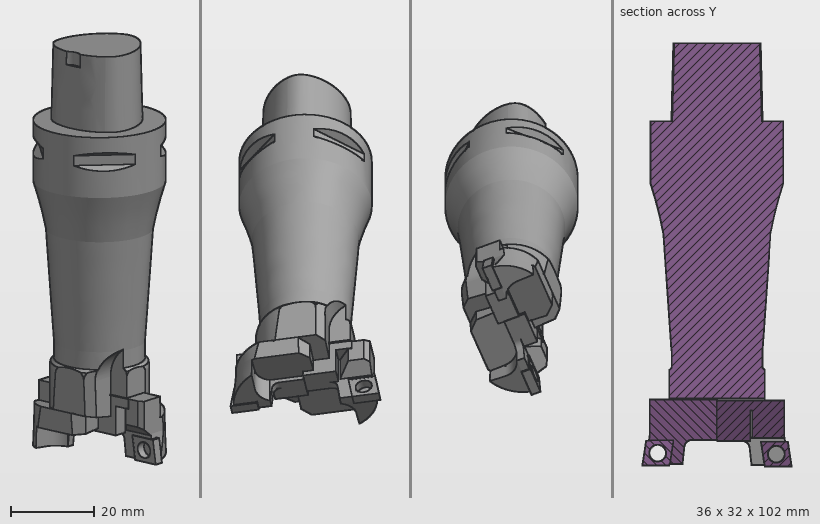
import cadquery as cq
import math

TOTAL_HEIGHT = 102.0
TOTAL_WIDTH = 36.0
FLANGE_TOP = 83.2
FLANGE_BOTTOM = 68.1
NECK_TOP = 56.2
NECK_BOTTOM = 28.2
COLLAR_TOP = 23.8
COLLAR_BREAK = 23.1
COLLAR_EDGE = 22.0
FLANGE_RADIUS = 16.0
NECK_TOP_RADIUS = 13.0
NECK_RADIUS = 11.0
COLLAR_BREAK_RADIUS = 11.8
COLLAR_RADIUS = 12.0
FLARE_SAG = 0.2

SHANK_BASE_DIAMETER = 22.0
SHANK_TAPER = 1 / 20
LOBE_ECCENTRICITY = 0.7
LOBE_COUNT = 3
LOBE_FACE_ANGLE = 46.0
POINTS_PER_FACE = 9
KEY_NOTCH_RADIUS = 3.6
KEY_NOTCH_HEIGHT = 3.3
KEY_NOTCH_FLOOR = 9.0

GROOVE_COUNT = 4
GROOVE_HEIGHT = 77.1
GROOVE_FLOOR_DISTANCE = 14.2
GROOVE_FLOOR_WIDTH = 2.4
GROOVE_MOUTH_WIDTH = 4.6

END_FLAT_DISTANCE = 11.5
SIDE_FLAT_DISTANCE = 11.2
SIDE_FLAT_TILT = 3.0
FLAT_CORNER_X = 4.5
FLUTE_FLOOR_X = 6.4
FLUTE_START = 20.9
FLUTE_RADIUS = 9.0
SLOT_HALF_WIDTH = 3.5
SLOT_ROOF = 16.4
SEAT_CENTRE_HEIGHT = 10.4
SEAT_SLOPE = 9.0

SLIDE_DROPS = [(0, 0.0), (180, 0.25)]
BLOCK_TOP = 16.2
SLIDE_BOTTOM = 6.4
SLIDE_END_X = 16.2
SLIDE_END_BREAK = 7.5
BLOCK_CHAMFER_X = 14.9
BLOCK_CHAMFER_Y = 2.5
WING_END_X = -2.5
WING_CHAMFER = 2.4
WING_WIDTH = 10.6
WING_INNER_BOTTOM = 7.6
WING_OUTER_BOTTOM = 6.8
CLAW_CENTRE_X = 5.7
CLAW_TOP_RADIUS = 11.2
CLAW_BOTTOM_RADIUS = 11.7
CLAW_ROOT = 8.7
CLAW_BOTTOM = 0.6
CLAW_OUTER_BOTTOM = 1.5
CLAW_INNER_X = 11.3
FINGER_X = 8.4
FINGER_UPPER_X = 7.9
FINGER_FILLET = 1.8
FINGER_WIDTH = 1.9
CLAW_HOLLOW_RADIUS = 4.4
CLAW_HOLLOW_END_Y = 6.1

POCKET_X = 8.1
POCKET_RAMP_X = 8.5
POCKET_TOP = 13.8
SEAT_TOP = 7.1
SEAT_RAMP_RISE = 2.5
BLOCK_RECESS_X = 11.9
BLOCK_RECESS_LOW_X = 11.0
BLOCK_RECESS_DEPTH = 0.2
RECESS_Y = SLOT_HALF_WIDTH - BLOCK_RECESS_DEPTH

INSERT_BOTTOM = SLIDE_DROPS[1][1]
INSERT_HEIGHT = 6.0
INSERT_WIDTH = 6.5
INSERT_INNER_X = TOTAL_WIDTH / 2 - INSERT_WIDTH
INSERT_LEAN = 0.9
INSERT_FACE_Y = -0.3
INSERT_THICKNESS = 2.3
INSERT_HOLE_DIAMETER = 4.0

FAR = 30.6


def box(x_range, y_range, z_range):
    """Box between the given limits."""
    return cq.Workplane("XY").box(
        x_range[1] - x_range[0], y_range[1] - y_range[0], z_range[1] - z_range[0], centered=False
    ).translate((x_range[0], y_range[0], z_range[0]))


def prism_x(points, x_range):
    """Prism along X from (y, z) points."""
    return (cq.Workplane("YZ").polyline(points).close()
            .extrude(x_range[1] - x_range[0]).translate((x_range[0], 0, 0)))


def prism_y(points, y_range):
    """Prism along Y from (x, z) points."""
    return (cq.Workplane("XZ").polyline(points).close()
            .extrude(y_range[0] - y_range[1]).translate((0, y_range[0], 0)))


def prism_z(points, z_range):
    """Prism along Z from (x, y) points."""
    return (cq.Workplane("XY").polyline(points).close()
            .extrude(z_range[1] - z_range[0]).translate((0, 0, z_range[0])))


def half_turn(shape):
    """The same shape on the opposite side of the tool axis."""
    return shape.rotate((0, 0, 0), (0, 0, 1), 180)


def seat_height(y):
    """Height of the V-shaped seat between adapter and slides."""
    return SEAT_CENTRE_HEIGHT + abs(y) * math.tan(math.radians(SEAT_SLOPE))


def side_flat(corner_chamfer):
    """Cutter for the tilted flat on the -Y side, with or without its 45 degree corner."""
    y_flat = -SIDE_FLAT_DISTANCE
    if corner_chamfer:
        reach = FAR - FLAT_CORNER_X
        points = [(-FAR, y_flat), (FLAT_CORNER_X, y_flat), (FAR, y_flat + reach),
                  (FAR, -FAR), (-FAR, -FAR)]
    else:
        points = [(-FAR, y_flat), (FAR, y_flat), (FAR, -FAR), (-FAR, -FAR)]
    cutter = prism_z(points, (-FAR, COLLAR_TOP))
    return cutter.rotate((0, y_flat, COLLAR_EDGE), (1, y_flat, COLLAR_EDGE), SIDE_FLAT_TILT)



def shank_point(diameter, angle):
    """Point of the three-lobed outline; one lobe points to +Y at angle 0."""
    ecc = LOBE_ECCENTRICITY
    along = diameter / 2 * math.cos(angle) + 2 * ecc * math.cos(2 * angle) - ecc * math.cos(4 * angle)
    across = diameter / 2 * math.sin(angle) - 2 * ecc * math.sin(2 * angle) - ecc * math.sin(4 * angle)
    return across, along


def shank_outline(diameter, height):
    """Closed outline of the shank: one curve per face."""
    pitch = 360 / LOBE_COUNT
    edges = []
    for lobe in range(LOBE_COUNT):
        lobe_start = lobe * pitch - LOBE_FACE_ANGLE / 2
        lobe_end = lobe_start + LOBE_FACE_ANGLE
        for start, end in [(lobe_start, lobe_end), (lobe_end, lobe_start + pitch)]:
            points = []
            for step in range(POINTS_PER_FACE):
                angle = math.radians(start + (end - start) * step / (POINTS_PER_FACE - 1))
                x, y = shank_point(diameter, angle)
                points.append(cq.Vector(x, y, height))
            edges.append(cq.Edge.makeSpline(points))
    return cq.Wire.assembleEdges(edges)


def make_shank():
    """Tapered three-lobed shank with a key notch in its top edge."""
    top_diameter = SHANK_BASE_DIAMETER - (TOTAL_HEIGHT - FLANGE_TOP) * SHANK_TAPER
    base = shank_outline(SHANK_BASE_DIAMETER, FLANGE_TOP)
    top = shank_outline(top_diameter, TOTAL_HEIGHT)
    shank = cq.Workplane(obj=cq.Solid.makeLoft([base, top], True))
    notch = (cq.Workplane("XY").center(0, -KEY_NOTCH_FLOOR - KEY_NOTCH_RADIUS)
             .circle(KEY_NOTCH_RADIUS).extrude(KEY_NOTCH_HEIGHT)
             .translate((0, 0, TOTAL_HEIGHT - KEY_NOTCH_HEIGHT)))
    return shank.cut(notch)


def make_turned_body():
    """Flange, flare, neck and collar as one turned shape."""
    flare_mid = ((FLANGE_RADIUS + NECK_TOP_RADIUS) / 2 - FLARE_SAG, (FLANGE_BOTTOM + NECK_TOP) / 2)
    return (cq.Workplane("XZ").moveTo(0, SEAT_CENTRE_HEIGHT)
            .lineTo(COLLAR_RADIUS, SEAT_CENTRE_HEIGHT)
            .lineTo(COLLAR_RADIUS, COLLAR_EDGE)
            .lineTo(COLLAR_BREAK_RADIUS, COLLAR_BREAK)
            .lineTo(NECK_RADIUS, COLLAR_TOP)
            .lineTo(NECK_RADIUS, NECK_BOTTOM)
            .lineTo(NECK_TOP_RADIUS, NECK_TOP)
            .threePointArc(flare_mid, (FLANGE_RADIUS, FLANGE_BOTTOM))
            .lineTo(FLANGE_RADIUS, FLANGE_TOP)
            .lineTo(0, FLANGE_TOP)
            .close().revolve(360, (0, 0, 0), (0, 1, 0)))


def make_gripper_groove():
    """Cutter for the groove with sloping sides, on the +X side."""
    slope = (GROOVE_MOUTH_WIDTH - GROOVE_FLOOR_WIDTH) / 2 / (FLANGE_RADIUS - GROOVE_FLOOR_DISTANCE)
    outer_half = GROOVE_FLOOR_WIDTH / 2 + slope * (FAR - GROOVE_FLOOR_DISTANCE)
    floor_half = GROOVE_FLOOR_WIDTH / 2
    points = [(GROOVE_FLOOR_DISTANCE, GROOVE_HEIGHT - floor_half),
              (GROOVE_FLOOR_DISTANCE, GROOVE_HEIGHT + floor_half),
              (FAR, GROOVE_HEIGHT + outer_half),
              (FAR, GROOVE_HEIGHT - outer_half)]
    return prism_y(points, (-FAR, FAR))


def make_flute():
    """Cutter for the chip flute on the +X, -Y side, curving out at its top."""
    outer_x = FLUTE_FLOOR_X + FLUTE_RADIUS
    arc_mid = (outer_x - FLUTE_RADIUS * math.cos(math.pi / 4),
               FLUTE_START + FLUTE_RADIUS * math.sin(math.pi / 4))
    return (cq.Workplane("XZ").moveTo(FLUTE_FLOOR_X, 0)
            .lineTo(FLUTE_FLOOR_X, FLUTE_START)
            .threePointArc(arc_mid, (outer_x, FLUTE_START + FLUTE_RADIUS))
            .lineTo(outer_x, 0).close().extrude(FAR)
            .translate((0, -SLOT_HALF_WIDTH, 0)))


def make_adapter():
    body = make_turned_body().union(make_shank())
    for index in range(GROOVE_COUNT):
        angle = (index + 0.5) * 360 / GROOVE_COUNT
        body = body.cut(make_gripper_groove().rotate((0, 0, 0), (0, 0, 1), angle))
    end_flat = box((END_FLAT_DISTANCE, FAR), (-FAR, FAR), (0, COLLAR_TOP))
    below_seat = prism_x([(0, 0), (0, SEAT_CENTRE_HEIGHT), (-FAR, seat_height(FAR)), (-FAR, 0)], (-FAR, FAR))
    for cutter in (end_flat, side_flat(True), make_flute(), below_seat):
        body = body.cut(cutter).cut(half_turn(cutter))
    slot = box((-FAR, FAR), (-SLOT_HALF_WIDTH, SLOT_HALF_WIDTH), (0, SLOT_ROOF))
    return body.cut(slot)



def make_insert_blank():
    """Slanted plate with its cutting face toward -Y."""
    insert_top = INSERT_BOTTOM + INSERT_HEIGHT
    points = [(INSERT_INNER_X, INSERT_BOTTOM),
              (INSERT_INNER_X + INSERT_WIDTH, INSERT_BOTTOM),
              (INSERT_INNER_X + INSERT_WIDTH - INSERT_LEAN, insert_top),
              (INSERT_INNER_X - INSERT_LEAN, insert_top)]
    return prism_y(points, (INSERT_FACE_Y, INSERT_FACE_Y + INSERT_THICKNESS))


def make_insert():
    hole_x = INSERT_INNER_X + (INSERT_WIDTH - INSERT_LEAN) / 2
    hole_z = INSERT_BOTTOM + INSERT_HEIGHT / 2
    hole = (cq.Workplane("XZ").center(hole_x, hole_z).circle(INSERT_HOLE_DIAMETER / 2)
            .extrude(FAR, both=True))
    return make_insert_blank().cut(hole)



def make_slide_base():
    """Tongue, wing and upright block before the top is shaped."""
    outline = [(0, -SLOT_HALF_WIDTH), (0, SLOT_HALF_WIDTH),
               (WING_END_X, SLOT_HALF_WIDTH), (WING_END_X, WING_WIDTH - WING_CHAMFER),
               (WING_END_X + WING_CHAMFER, WING_WIDTH), (WING_END_X + WING_CHAMFER, FAR), (FAR, FAR),
               (SLIDE_END_X, -BLOCK_CHAMFER_Y), (BLOCK_CHAMFER_X, -RECESS_Y),
               (BLOCK_CHAMFER_X, -SLOT_HALF_WIDTH)]
    base = prism_z(outline, (SLIDE_BOTTOM, BLOCK_TOP))
    wing_relief = prism_x([(FINGER_WIDTH, 0), (FINGER_WIDTH, WING_INNER_BOTTOM),
                           (WING_WIDTH, WING_OUTER_BOTTOM), (FAR, WING_OUTER_BOTTOM), (FAR, 0)],
                          (-FAR, CLAW_INNER_X))
    return base.cut(wing_relief)


def make_claw():
    """Claw that reaches down behind the insert, hollowed on its inner side."""
    claw = (cq.Workplane("XY").moveTo(FINGER_X, 0).lineTo(FINGER_X, FINGER_WIDTH)
            .radiusArc((CLAW_INNER_X, CLAW_HOLLOW_END_Y), -CLAW_HOLLOW_RADIUS)
            .lineTo(CLAW_INNER_X, FAR).lineTo(FAR, FAR).lineTo(FAR, 0).close()
            .extrude(CLAW_ROOT))
    finger_arc_mid = (FINGER_UPPER_X - FINGER_FILLET * (1 - math.cos(math.pi / 4)),
                      SLIDE_BOTTOM - FINGER_FILLET * (1 - math.sin(math.pi / 4)))
    finger = (cq.Workplane("XZ").moveTo(FINGER_UPPER_X - FINGER_FILLET, SLIDE_BOTTOM)
              .threePointArc(finger_arc_mid, (FINGER_UPPER_X, SLIDE_BOTTOM - FINGER_FILLET))
              .lineTo(FINGER_X, 0).lineTo(CLAW_INNER_X, 0).lineTo(CLAW_INNER_X, SLIDE_BOTTOM)
              .close().extrude(-FINGER_WIDTH))
    underside = prism_x([(0, 0), (0, CLAW_BOTTOM), (FINGER_WIDTH, CLAW_BOTTOM),
                         (WING_WIDTH, CLAW_OUTER_BOTTOM), (FAR, CLAW_OUTER_BOTTOM), (FAR, 0)], (0, FAR))
    return claw.union(finger).cut(underside)


def make_slide_envelope():
    """Round outside of a slide, widening toward the bottom, with a flat end."""
    round_outside = (cq.Workplane("XZ").lineTo(CLAW_BOTTOM_RADIUS, 0)
                     .lineTo(CLAW_TOP_RADIUS, BLOCK_TOP)
                     .lineTo(0, BLOCK_TOP).close().revolve(360, (0, 0, 0), (0, 1, 0))
                     .translate((CLAW_CENTRE_X, 0, 0)))
    end_slope = INSERT_LEAN / INSERT_HEIGHT
    end_face = prism_y([(SLIDE_END_X + end_slope * SLIDE_END_BREAK, 0), (SLIDE_END_X, SLIDE_END_BREAK),
                        (SLIDE_END_X, BLOCK_TOP), (FAR, BLOCK_TOP), (FAR, 0)], (-FAR, FAR))
    inner_part = box((-FAR, CLAW_CENTRE_X), (-SIDE_FLAT_DISTANCE, SIDE_FLAT_DISTANCE), (0, BLOCK_TOP))
    return round_outside.cut(end_face).union(inner_part)


def seat_ramp(depth):
    """Height of the ramp above the insert seat at a distance toward -Y."""
    return SEAT_TOP + depth * SEAT_RAMP_RISE / RECESS_Y


def cut_chip_pocket(slide):
    """Insert seat, ramp, groove and shallow recess on the -Y face."""
    seat = prism_x([(0, 0), (0, SEAT_TOP), (-FAR, seat_ramp(FAR)), (-FAR, 0)], (POCKET_X, FAR))
    groove = prism_z([(POCKET_X, -FAR), (POCKET_X, 0), (POCKET_RAMP_X, 0),
                      (BLOCK_RECESS_LOW_X, -RECESS_Y), (FAR, -RECESS_Y), (FAR, -FAR)], (0, POCKET_TOP))
    recess = box((BLOCK_RECESS_X, FAR), (-FAR, -RECESS_Y), (0, BLOCK_TOP))
    return slide.cut(seat).cut(groove).cut(recess)


def make_slide(drop):
    """Slide lowered by an axial offset, with its top still resting on the adapter's seat."""
    slide = make_slide_base().union(make_claw()).intersect(make_slide_envelope())
    slide = cut_chip_pocket(slide)
    slide = slide.cut(make_insert_blank()).translate((0, 0, -drop))
    above_seat = prism_x([(SLOT_HALF_WIDTH, seat_height(SLOT_HALF_WIDTH)), (FAR, seat_height(FAR)),
                          (FAR, FAR), (SLOT_HALF_WIDTH, FAR)], (-FAR, FAR))
    return slide.cut(above_seat).cut(half_turn(side_flat(False)))


adapter = make_adapter()
slides = []
inserts = []
for turn, drop in SLIDE_DROPS:
    slides.append(make_slide(drop).rotate((0, 0, 0), (0, 0, 1), turn))
    inserts.append(make_insert().translate((0, 0, -drop)).rotate((0, 0, 0), (0, 0, 1), turn))

bodies = [adapter.val()]
for part in slides + inserts:
    bodies.extend(part.vals())
result = cq.Compound.makeCompound(bodies)